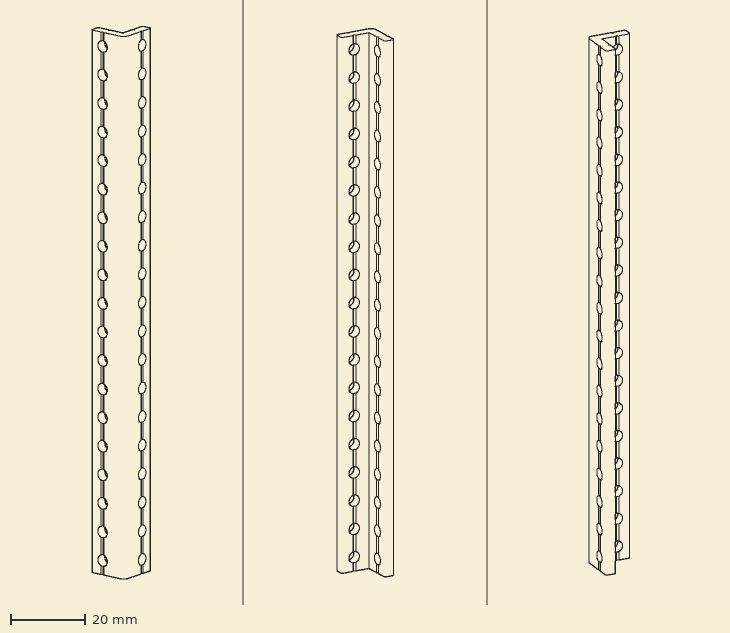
import cadquery as cq

length = 152.0
leg = 11.5
thickness = 3.0
tip_radius = 0.6
corner_radius = 1.5

hole_count = 19
hole_diameter = 3.2
hole_pitch = length / hole_count
row_offset = 4.0
groove_width = 0.9
groove_depth = 0.3

half_leg = leg / 2
inner_x = half_leg - thickness
inner_y = thickness - half_leg


def angle_bar():
    """L-shaped bar along Z, with its outer corner at the +X, -Y side."""
    bar = (
        cq.Workplane("XY")
        .moveTo(-half_leg, -half_leg)
        .lineTo(half_leg, -half_leg)
        .lineTo(half_leg, half_leg)
        .lineTo(inner_x, half_leg)
        .lineTo(inner_x, inner_y)
        .lineTo(-half_leg, inner_y)
        .close()
        .extrude(length)
    )
    bar = bar.faces("<X").edges("|Z").fillet(tip_radius)
    bar = bar.faces(">Y").edges("|Z").fillet(tip_radius)
    outer_corner = cq.selectors.NearestToPointSelector((half_leg, -half_leg, length / 2))
    return bar.edges(outer_corner).fillet(corner_radius)


def leg_cuts():
    """Holes and both face grooves of the leg along X."""
    row_x = row_offset - half_leg
    hole_centers = [(row_x, (i + 0.5) * hole_pitch) for i in range(hole_count)]
    cuts = (
        cq.Workplane("XZ", origin=(0, inner_y, 0))
        .pushPoints(hole_centers)
        .circle(hole_diameter / 2)
        .extrude(thickness)
    )
    for face_y, bottom_y in (
        (-half_leg, -half_leg + groove_depth),
        (inner_y, inner_y - groove_depth),
    ):
        groove = (
            cq.Workplane("XY")
            .moveTo(row_x - groove_width / 2, face_y)
            .lineTo(row_x + groove_width / 2, face_y)
            .lineTo(row_x, bottom_y)
            .close()
            .extrude(length)
        )
        cuts = cuts.union(groove)
    return cuts


cuts_along_x = leg_cuts()
cuts_along_y = cuts_along_x.mirror(cq.Vector(1, 1, 0))
result = angle_bar().cut(cuts_along_x).cut(cuts_along_y)